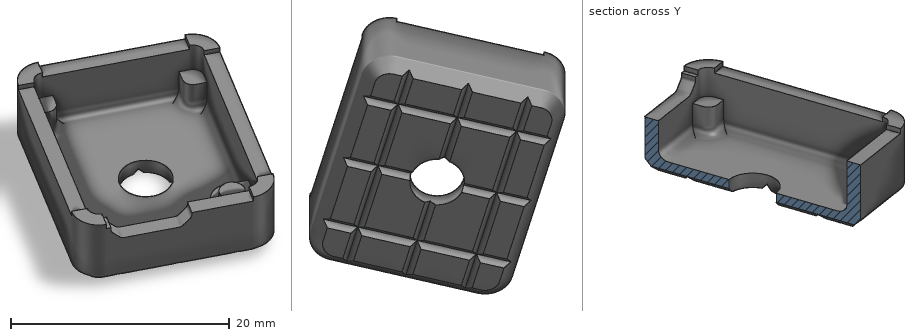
import cadquery as cq

LENGTH = 23.2
WIDTH = 19.2
HEIGHT = 7.52
WALL = 1.5
FLOOR = 1.5
CORNER_RADIUS = 2.6
BOTTOM_CHAMFER = 1.2
CHAMFER_FILLET = 0.2
RIM_STEP = 0.5
RIM_Z = HEIGHT - RIM_STEP

CAVITY_LENGTH = LENGTH - 2 * WALL
CAVITY_WIDTH = WIDTH - 2 * WALL
CAVITY_RADIUS = CORNER_RADIUS - WALL
FLOOR_FILLET = 1.0

SUPPORT_HEIGHT = 3.0
SUPPORT_TOP = FLOOR + SUPPORT_HEIGHT
POST_SIZE = 2.09
POST_RADIUS = 1.0
PIN_BLOCK_SIZE = 4.1
PIN_BLOCK_RADIUS = 2.0
PIN_RADIUS = 1.25
PIN_HEIGHT = 0.9
PIN_TAPER = 3.0
PIN_INSET = PIN_BLOCK_SIZE - PIN_BLOCK_RADIUS

FLOOR_HOLE_RADIUS = 2.5
NOTCH_WIDTH = 7.7
NOTCH_DEPTH = 1.5
NOTCH_CENTER_Y = -2.71
NOTCH_CHAMFER = 1.0
NOTCH_FILLET = 0.6

GROOVE_DEPTH = 0.5
GROOVE_HALF_WIDTH = GROOVE_DEPTH
GROOVE_PITCH_X = 7.0
GROOVE_PITCH_Y = 5.64


def outer_body():
    """Solid block with rounded vertical edges and a chamfer around the underside."""
    body = cq.Workplane("XY").rect(LENGTH, WIDTH).extrude(HEIGHT)
    body = body.edges("|Z").fillet(CORNER_RADIUS)
    body = body.faces("<Z").chamfer(BOTTOM_CHAMFER)
    chamfer_top = cq.selectors.BoxSelector(
        (-LENGTH, -WIDTH, BOTTOM_CHAMFER / 2 + CHAMFER_FILLET),
        (LENGTH, WIDTH, BOTTOM_CHAMFER + CHAMFER_FILLET),
    )
    return body.edges(chamfer_top).fillet(CHAMFER_FILLET)


def corner_block(side_x, side_y, size, radius):
    """Block filling one cavity corner up to the support height, rounded towards the middle."""
    center_x = side_x * (CAVITY_LENGTH - size) / 2
    center_y = side_y * (CAVITY_WIDTH - size) / 2
    block = (
        cq.Workplane("XY", origin=(center_x, center_y, FLOOR))
        .rect(size, size)
        .extrude(SUPPORT_HEIGHT)
    )
    inner_x = ">X" if side_x < 0 else "<X"
    inner_y = ">Y" if side_y < 0 else "<Y"
    return block.edges("|Z").edges(inner_x).edges(inner_y).fillet(radius)


def cavity():
    """Space inside the walls, less the corner supports, with rounded floor edges."""
    lower = (
        cq.Workplane("XY", origin=(0, 0, FLOOR))
        .rect(CAVITY_LENGTH, CAVITY_WIDTH)
        .extrude(SUPPORT_HEIGHT)
    )
    for side_x, side_y in ((-1, -1), (1, -1), (-1, 1)):
        lower = lower.cut(corner_block(side_x, side_y, POST_SIZE, POST_RADIUS))
    lower = lower.cut(corner_block(1, 1, PIN_BLOCK_SIZE, PIN_BLOCK_RADIUS))
    lower = lower.faces("<Z").edges().fillet(FLOOR_FILLET)
    upper = (
        cq.Workplane("XY", origin=(0, 0, SUPPORT_TOP))
        .rect(CAVITY_LENGTH, CAVITY_WIDTH)
        .extrude(HEIGHT - SUPPORT_TOP)
        .edges("|Z")
        .fillet(CAVITY_RADIUS)
    )
    return lower.union(upper)


def rim_cutter():
    """Cross-shaped cutter that lowers the rim everywhere except at the corners."""
    plane = cq.Workplane("XY", origin=(0, 0, RIM_Z))
    across_y = plane.rect(LENGTH - 2 * CORNER_RADIUS, WIDTH).extrude(RIM_STEP)
    across_x = plane.rect(LENGTH, WIDTH - 2 * CORNER_RADIUS).extrude(RIM_STEP)
    return across_y.union(across_x)


def pin():
    """Tapered locating pin on top of the large corner block."""
    return (
        cq.Workplane("XY", origin=(0, 0, SUPPORT_TOP))
        .center(CAVITY_LENGTH / 2 - PIN_INSET, CAVITY_WIDTH / 2 - PIN_INSET)
        .circle(PIN_RADIUS)
        .extrude(PIN_HEIGHT, taper=PIN_TAPER)
    )


def rim_notch():
    """Notch through the +X wall with sloped, rounded lower corners."""
    notch = cq.Workplane("XY").box(WALL, NOTCH_WIDTH, NOTCH_DEPTH)
    notch = notch.edges("|X and <Z").chamfer(NOTCH_CHAMFER)
    notch = notch.edges("|X and (not >Z)").fillet(NOTCH_FILLET)
    return notch.translate(((LENGTH - WALL) / 2, NOTCH_CENTER_Y, RIM_Z - NOTCH_DEPTH / 2))


def floor_hole():
    return cq.Workplane("XY").circle(FLOOR_HOLE_RADIUS).extrude(FLOOR)


def groove(plane, offset, length):
    """V-groove along the full underside, offset sideways from the middle."""
    return (
        cq.Workplane(plane)
        .moveTo(offset - GROOVE_HALF_WIDTH, 0)
        .lineTo(offset, GROOVE_DEPTH)
        .lineTo(offset + GROOVE_HALF_WIDTH, 0)
        .close()
        .extrude(length / 2, both=True)
    )


result = outer_body().cut(cavity()).cut(rim_cutter()).union(pin()).cut(rim_notch())
result = result.cut(floor_hole())
for step in (-1, 0, 1):
    result = result.cut(groove("XZ", step * GROOVE_PITCH_X, WIDTH))
    result = result.cut(groove("YZ", step * GROOVE_PITCH_Y, LENGTH))